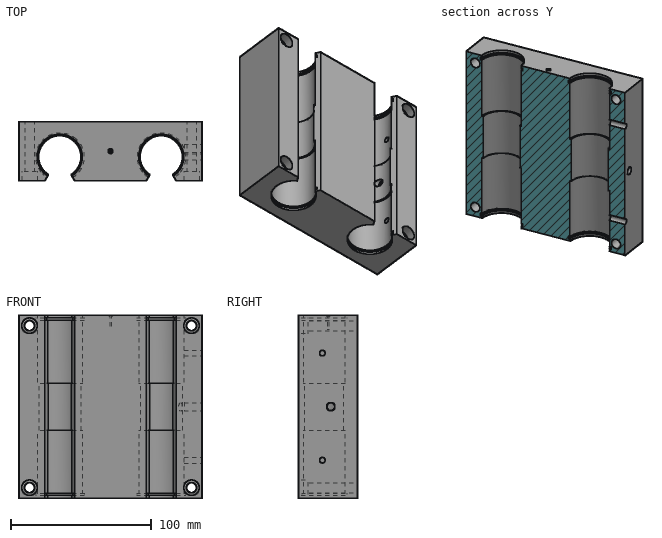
import cadquery as cq
import math

width = 130.0
depth = 42.0
height = 130.0
front_y = -depth / 2
right_x = width / 2
top_z = height / 2

bore_spacing = 72.0
bore_axis_x = bore_spacing / 2
bore_axis_y = front_y + 17.0
seat_radius = 16.0
band_radius = 15.0
band_length = 33.5

groove_radius = 17.2
groove_width = 1.7
groove_inset = 2.0

slot_face_width = 21.0
slot_flank_angle = 30.0

mount_inset = 7.5
mount_diameter = 7.0
counterbore_diameter = 11.0
counterbore_depth = 6.8

port_diameter = 1.4
port_depth = 10.0
countersink_diameter = 3.4
countersink_depth = 1.0

screw_diameter = 4.0
screw_spacing = 76.0
feed_y = front_y + 23.0
feed_diameter = 5.5
feed_recess_diameter = 6.0
feed_recess_depth = 2.5


def cylinder_along_z(x, y, z_start, radius, length):
    return cq.Workplane("XY", origin=(x, y, z_start)).circle(radius).extrude(length)


def cylinder_along_x(x_start, x_end, y, z, diameter):
    return cq.Workplane("YZ", origin=(x_start, y, z)).circle(diameter / 2).extrude(x_end - x_start)


def flared_slot(x):
    """Triangular prism whose flanks are the slot walls; its apex lies inside the bore."""
    half_width = slot_face_width / 2
    apex_y = front_y + half_width / math.tan(math.radians(slot_flank_angle))
    return (
        cq.Workplane("XY", origin=(x, 0, -top_z))
        .moveTo(0, apex_y)
        .lineTo(-half_width, front_y)
        .lineTo(half_width, front_y)
        .close()
        .extrude(height)
    )


def rail_bore(x):
    """Stepped bore with its ring grooves and the slot to the -Y face."""
    seat_length = (height - band_length) / 2
    lower_groove_z = -top_z + groove_inset
    upper_groove_z = top_z - groove_inset - groove_width
    cutter = cylinder_along_z(x, bore_axis_y, -top_z, band_radius, height)
    for seat_z in (-top_z, band_length / 2):
        cutter = cutter.union(cylinder_along_z(x, bore_axis_y, seat_z, seat_radius, seat_length))
    for groove_z in (lower_groove_z, upper_groove_z):
        cutter = cutter.union(cylinder_along_z(x, bore_axis_y, groove_z, groove_radius, groove_width))
    return cutter.union(flared_slot(x))


def drill_mounting_holes(block):
    return (
        block.faces("<Y")
        .workplane(centerOption="CenterOfBoundBox")
        .rect(width - 2 * mount_inset, height - 2 * mount_inset, forConstruction=True)
        .vertices()
        .cboreHole(mount_diameter, counterbore_diameter, counterbore_depth)
    )


def oil_port():
    countersink = (
        cq.Workplane("XY", origin=(0, 0, top_z))
        .circle(countersink_diameter / 2)
        .workplane(offset=-countersink_depth)
        .circle(port_diameter / 2)
        .loft()
    )
    drill = cylinder_along_z(0, 0, top_z - port_depth, port_diameter / 2, port_depth)
    return drill.union(countersink)


def screw_hole(z):
    return cylinder_along_x(bore_axis_x, right_x, bore_axis_y, z, screw_diameter)


def feed_hole():
    wall_x = bore_axis_x + math.sqrt(band_radius**2 - (feed_y - bore_axis_y) ** 2)
    recess = cylinder_along_x(bore_axis_x, wall_x + feed_recess_depth, feed_y, 0, feed_recess_diameter)
    return recess.union(cylinder_along_x(bore_axis_x, right_x, feed_y, 0, feed_diameter))


result = cq.Workplane("XY").box(width, depth, height)
result = drill_mounting_holes(result)

for side in (-1, 1):
    result = result.cut(rail_bore(side * bore_axis_x))
    result = result.cut(screw_hole(side * screw_spacing / 2))

result = result.cut(oil_port())
result = result.cut(feed_hole())